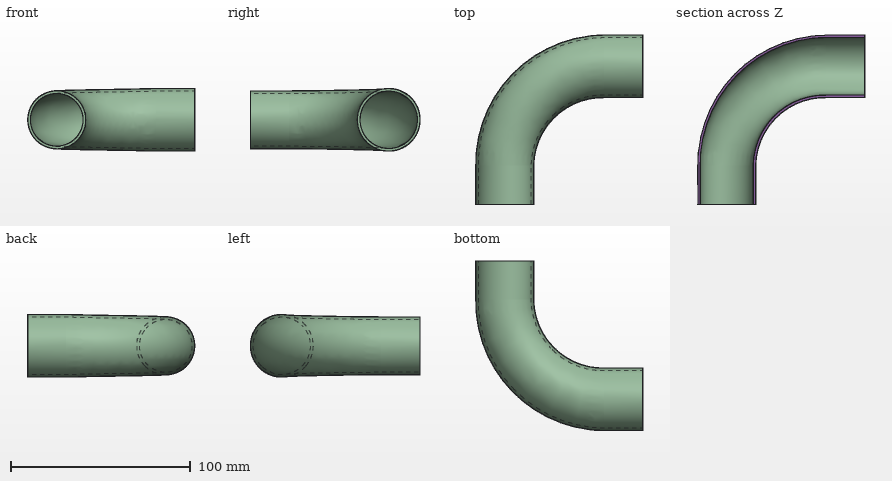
import cadquery as cq
import math

length_x = 92.95
length_y = 94.5
small_diameter = 32.3
large_diameter = 34.95
wall = 1.5
bend_radius = 55.3

small_leg = length_y - large_diameter / 2 - bend_radius
large_leg = length_x - small_diameter / 2 - bend_radius
bend_middle = bend_radius * math.sqrt(0.5)

bend_start = cq.Plane((-bend_radius, 0, 0), xDir=(1, 0, 0), normal=(0, 1, 0))
bend_end = cq.Plane((0, bend_radius, 0), xDir=(0, -1, 0), normal=(1, 0, 0))


def pipe_body(start_diameter, end_diameter):
    """Solid elbow: a straight leg, a bend that widens steadily, and a second straight leg."""
    bend_centreline = (
        cq.Workplane("XY")
        .moveTo(-bend_radius, 0)
        .threePointArc((-bend_middle, bend_middle), (0, bend_radius))
        .wire()
    )
    bend = (
        cq.Workplane(bend_start)
        .circle(start_diameter / 2)
        .copyWorkplane(cq.Workplane(bend_end))
        .circle(end_diameter / 2)
        .sweep(bend_centreline, multisection=True)
    )
    small_end = cq.Workplane(bend_start).circle(start_diameter / 2).extrude(-small_leg)
    large_end = cq.Workplane(bend_end).circle(end_diameter / 2).extrude(large_leg)
    return bend.union(small_end).union(large_end)


outer = pipe_body(small_diameter, large_diameter)
bore = pipe_body(small_diameter - 2 * wall, large_diameter - 2 * wall)
result = outer.cut(bore)